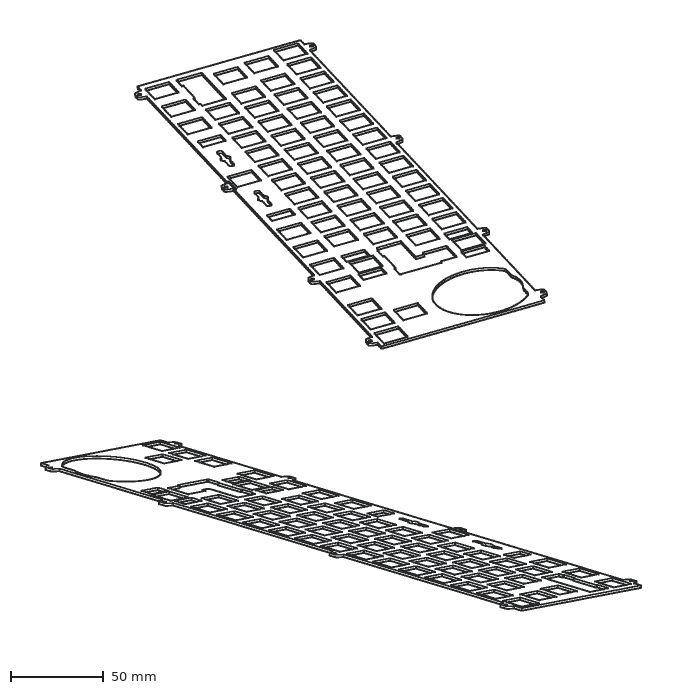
import cadquery as cq
import math

KEY_UNIT = 19.05
PLATE_UNITS_X = 18.5
PLATE_UNITS_Y = 5
PLATE_THICKNESS = 1.5
PLATE_X = PLATE_UNITS_X * KEY_UNIT
PLATE_Y = PLATE_UNITS_Y * KEY_UNIT

PITCH_DEG = 6.5
ROLL_DEG = 0.128

SWITCH_SIZE = 14.0
HALF_SWITCH = SWITCH_SIZE / 2
HALF_UNIT = 0.5
ROW_5, ROW_4, ROW_3, ROW_2, ROW_1 = (row + HALF_UNIT for row in range(PLATE_UNITS_Y))

STAB_WIDTH = 7.7
STAB_HEIGHT = 13.4
STAB_OFFSET_Y = 1.2
STAB_REACH = 12.25
SPACE_STAB_REACH = 50.0

BACKSPACE_UNIT = 14
RIGHT_SHIFT_UNIT = 13.625
SPACE_UNIT = 6.875
ARROW_UNIT = 17

SHIFT_SHORT_UNIT = 0.625
SHIFT_FULL_UNIT = 1.125
SHIFT_EXTRA_UNIT = 1.75
ENTER_UPPER_UNIT = 14.25
ENTER_TALL_UNIT = 14.375
ENTER_TALL_ROW = 3.0
ENTER_EXTRA_UNIT = 13.25
ENTER_FULL_UNIT = 13.875
ENTER_UPPER_WIDENING = 0.8

SLOT_REACH = 27.0
SLOT_LENGTH = 20.0
SLOT_WIDTH = 3.0
SLOT_EYE_DIAMETER = 5.7

DIAL_X = ARROW_UNIT * KEY_UNIT
DIAL_Y = 70.1
DIAL_RADIUS = 26.75
DIAL_FLAT_Y = 90.9
DIAL_CORNER_FILLET = 5.0
DIAL_BULGE_HALF_WIDTH = 8.3
DIAL_BULGE_HEIGHT = 1.9

TAB_UNITS = (0.5, 7.0625, 13.625, 18)
TAB_LENGTH = 4.522
TAB_BASE_WIDTH = 8.1
TAB_TIP_WIDTH = 5.4
TAB_TIP_FILLET = 1.5
TAB_HOLE_DIAMETER = 1.8
TAB_HOLE_FROM_TIP = 1.9

RELIEF_LENGTH = 11.0
RELIEF_WIDTH = 0.7
RELIEF_Y = 0.75
RELIEF_X = TAB_UNITS[1] * KEY_UNIT


def window(x, y, width, height):
    """A rectangular cutter centred on (x, y) that passes through the plate."""
    return cq.Workplane("XY").center(x, y).rect(width, height).extrude(PLATE_THICKNESS)


def window_between(left, right, bottom, top):
    """A rectangular cutter given by its four sides."""
    return window((left + right) / 2, (bottom + top) / 2, right - left, top - bottom)


def switches(units, row):
    """Switch cutters at the given places along one row."""
    centres = [(unit * KEY_UNIT, row * KEY_UNIT) for unit in units]
    squares = cq.Workplane("XY").pushPoints(centres).rect(SWITCH_SIZE, SWITCH_SIZE)
    return squares.extrude(PLATE_THICKNESS)


def stabilisers(unit_x, unit_y, reach=STAB_REACH, offset_y=-STAB_OFFSET_Y):
    """The pair of stabiliser cutters on either side of a key."""
    y = unit_y * KEY_UNIT + offset_y
    centres = [(unit_x * KEY_UNIT + side * reach, y) for side in (-1, 1)]
    pair = cq.Workplane("XY").pushPoints(centres).rect(STAB_WIDTH, STAB_HEIGHT)
    return pair.extrude(PLATE_THICKNESS)


def run(first, count):
    """Centres of neighbouring one-unit keys."""
    return [first + i for i in range(count)]


def left_shift_opening():
    left = SHIFT_SHORT_UNIT * KEY_UNIT - HALF_SWITCH
    right = SHIFT_EXTRA_UNIT * KEY_UNIT + HALF_SWITCH
    y = ROW_4 * KEY_UNIT
    opening = window_between(left, right, y - HALF_SWITCH, y + HALF_SWITCH)
    return opening.union(stabilisers(SHIFT_FULL_UNIT, ROW_4))


def enter_opening():
    upper_x = ENTER_UPPER_UNIT * KEY_UNIT
    upper_y = ROW_2 * KEY_UNIT
    tall_x = ENTER_TALL_UNIT * KEY_UNIT
    tall_y = ENTER_TALL_ROW * KEY_UNIT
    lower_y = ROW_3 * KEY_UNIT
    lower_left = ENTER_EXTRA_UNIT * KEY_UNIT - HALF_SWITCH
    upper = window_between(
        upper_x - HALF_SWITCH,
        upper_x + HALF_SWITCH + ENTER_UPPER_WIDENING,
        upper_y - HALF_SWITCH,
        upper_y + HALF_SWITCH,
    )
    tall = window_between(
        tall_x - HALF_SWITCH,
        tall_x + HALF_SWITCH,
        lower_y - HALF_SWITCH,
        tall_y + HALF_SWITCH,
    )
    lower = window_between(lower_left, tall_x, lower_y - HALF_SWITCH, lower_y + HALF_SWITCH)
    return upper.union(tall).union(lower).union(stabilisers(ENTER_FULL_UNIT, ROW_3))


def space_slot(x):
    y = ROW_5 * KEY_UNIT
    slot = cq.Workplane("XY").center(x, y).slot2D(SLOT_LENGTH, SLOT_WIDTH).extrude(PLATE_THICKNESS)
    eye = cq.Workplane("XY").center(x, y).circle(SLOT_EYE_DIAMETER / 2).extrude(PLATE_THICKNESS)
    return slot.union(eye)


def dial_opening():
    flat_height = DIAL_FLAT_Y - DIAL_Y
    flat_half = math.sqrt(DIAL_RADIUS**2 - flat_height**2)
    return (
        cq.Workplane("XY")
        .moveTo(DIAL_X - flat_half, DIAL_FLAT_Y)
        .threePointArc((DIAL_X, DIAL_Y - DIAL_RADIUS), (DIAL_X + flat_half, DIAL_FLAT_Y))
        .lineTo(DIAL_X + DIAL_BULGE_HALF_WIDTH, DIAL_FLAT_Y)
        .threePointArc(
            (DIAL_X, DIAL_FLAT_Y + DIAL_BULGE_HEIGHT),
            (DIAL_X - DIAL_BULGE_HALF_WIDTH, DIAL_FLAT_Y),
        )
        .close()
        .extrude(PLATE_THICKNESS)
        .edges("|Z and (<X or >X)")
        .fillet(DIAL_CORNER_FILLET)
    )


def rear_tab(x):
    base = TAB_BASE_WIDTH / 2
    tip = TAB_TIP_WIDTH / 2
    tip_y = PLATE_Y + TAB_LENGTH
    tab = (
        cq.Workplane("XY")
        .polyline([(x - base, PLATE_Y), (x - tip, tip_y), (x + tip, tip_y), (x + base, PLATE_Y)])
        .close()
        .extrude(PLATE_THICKNESS)
        .edges("|Z and >Y")
        .fillet(TAB_TIP_FILLET)
    )
    hole = (
        cq.Workplane("XY")
        .center(x, tip_y - TAB_HOLE_FROM_TIP)
        .circle(TAB_HOLE_DIAMETER / 2)
        .extrude(PLATE_THICKNESS)
    )
    return tab.cut(hole)


def front_tab(x):
    return rear_tab(x).mirror("XZ", (0, PLATE_Y / 2, 0))


plate = cq.Workplane("XY").rect(PLATE_X, PLATE_Y, centered=False).extrude(PLATE_THICKNESS)
for unit in TAB_UNITS:
    plate = plate.union(rear_tab(unit * KEY_UNIT)).union(front_tab(unit * KEY_UNIT))

switch_rows = (
    (ROW_1, run(0.5, 13) + [BACKSPACE_UNIT]),
    (ROW_2, [0.75] + run(2, 12)),
    (ROW_3, [0.875] + run(2.25, 11)),
    (ROW_4, run(2.75, 10) + [RIGHT_SHIFT_UNIT, ARROW_UNIT]),
    (ROW_5, [0.625, 1.875, 3.125, SPACE_UNIT, 10.625, 11.875, 13.125, 14.375] + run(ARROW_UNIT - 1, 3)),
)
for row, units in switch_rows:
    plate = plate.cut(switches(units, row))

plate = plate.cut(stabilisers(BACKSPACE_UNIT, ROW_1))
plate = plate.cut(stabilisers(RIGHT_SHIFT_UNIT, ROW_4))
plate = plate.cut(stabilisers(SPACE_UNIT, ROW_5, SPACE_STAB_REACH, STAB_OFFSET_Y))
plate = plate.cut(left_shift_opening())
plate = plate.cut(enter_opening())
for side in (-1, 1):
    plate = plate.cut(space_slot(SPACE_UNIT * KEY_UNIT + side * SLOT_REACH))
plate = plate.cut(dial_opening())
plate = plate.cut(window(RELIEF_X, RELIEF_Y, RELIEF_LENGTH, RELIEF_WIDTH))

result = (
    plate.translate((-PLATE_X / 2, -PLATE_Y / 2, -PLATE_THICKNESS / 2))
    .rotate((0, 0, 0), (1, 0, 0), PITCH_DEG)
    .rotate((0, 0, 0), (0, 1, 0), -ROLL_DEG)
)